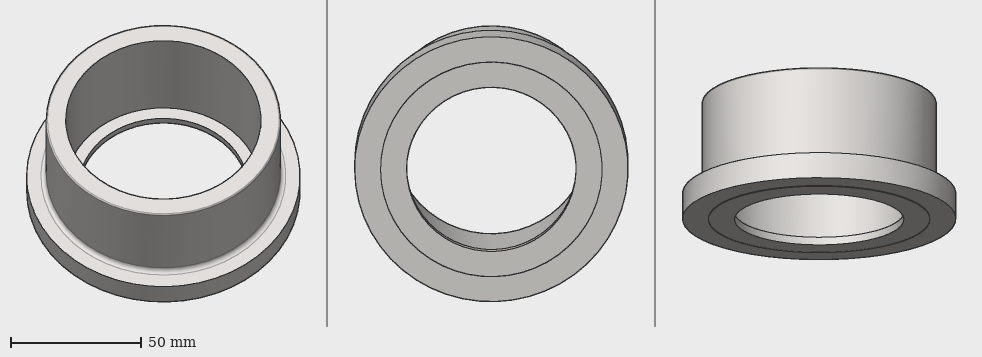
import cadquery as cq

total_height = 47.0
flange_diameter = 105.0
sleeve_diameter = 90.0

face_diameter = 85.0
face_height = 0.3

flange_top = 10.4

socket_diameter = 75.0
bore_diameter = 65.0
ledge_thickness = 3.0

root_fillet = 2.0
rim_fillet = 0.5

flange_radius = flange_diameter / 2
sleeve_radius = sleeve_diameter / 2
face_radius = face_diameter / 2
socket_radius = socket_diameter / 2
bore_radius = bore_diameter / 2

section = (
    cq.Workplane("XZ")
    .moveTo(bore_radius, 0)
    .lineTo(face_radius, 0)
    .lineTo(face_radius, face_height)
    .lineTo(flange_radius, face_height)
    .lineTo(flange_radius, flange_top)
    .lineTo(sleeve_radius + root_fillet, flange_top)
    .radiusArc((sleeve_radius, flange_top + root_fillet), root_fillet)
    .lineTo(sleeve_radius, total_height - rim_fillet)
    .radiusArc((sleeve_radius - rim_fillet, total_height), -rim_fillet)
    .lineTo(socket_radius, total_height)
    .lineTo(socket_radius, ledge_thickness)
    .lineTo(bore_radius, ledge_thickness)
    .close()
)

result = section.revolve(360, (0, 0, 0), (0, 1, 0))